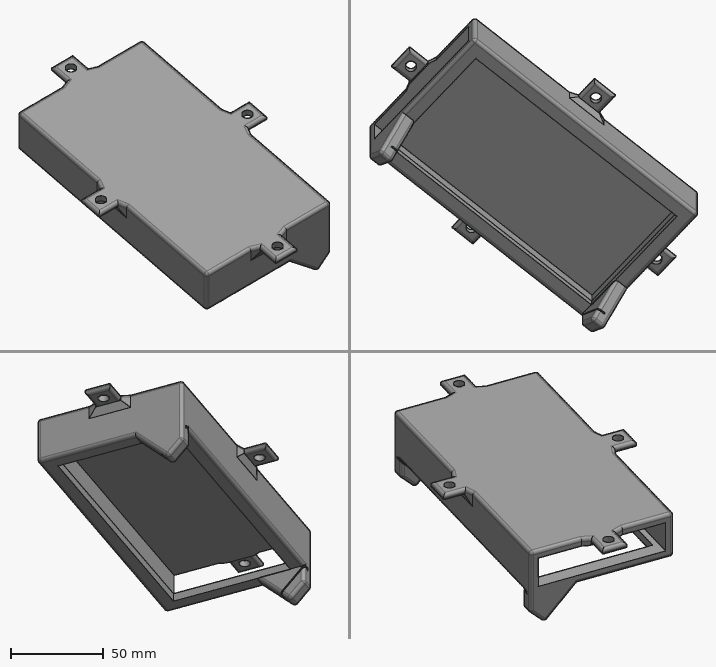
import cadquery as cq
length = 190.0
width = 117.0
height = 46.5

tab_reach = 15.0
box_length = length - 2 * tab_reach
box_width = width - 2 * tab_reach
box_height = 28.0
wall = 5.0
half_length = box_length / 2
half_width = box_width / 2

tab_width = 15.0
tab_thickness = 4.0
tab_lower_radius = 1.9
hole_diameter = 6.0
hole_from_end = tab_reach / 2
gusset_reach = 1.9
gusset_flare = 5.0

edge_radius = tab_thickness / 2

leg_thickness = 8.7
leg_tip_inset = 9.1
leg_inner_x = half_length - leg_thickness
tip_loss = edge_radius * (2**0.5 - 1)
leg_tip_z = -(height + tip_loss)
leg_tip_y = half_width - leg_tip_inset
leg_front_y = leg_tip_y - (-box_height - leg_tip_z)

slit_width = 0.8
slit_depth = 4.5
slit_from_slope = 7.5

floor_rim_x = 8.4
floor_rim_y = 8.5

tolerance = 0.02


def block(x_min, x_max, y_min, y_max, z_min, z_max):
    """Axis-aligned block between two corners."""
    size = (x_max - x_min, y_max - y_min, z_max - z_min)
    return cq.Workplane("XY").box(*size, centered=False).translate((x_min, y_min, z_min))


def leg(x_min):
    """Pointed leg flush with the +Y wall, reaching up into the box."""
    outline = [
        (half_width, -wall),
        (half_width, leg_tip_z + leg_tip_inset),
        (leg_tip_y, leg_tip_z),
        (leg_front_y, -box_height),
        (leg_front_y, -wall),
    ]
    return cq.Workplane("YZ", origin=(x_min, 0, 0)).polyline(outline).close().extrude(leg_thickness)


def is_outside_edge(edge):
    """True for edges below the top face, except the inner corners where a leg meets the floor."""
    center = edge.Center()
    at_floor = abs(center.z + box_height) < tolerance
    beside_leg = abs(abs(center.x) - leg_inner_x) < tolerance
    before_leg = abs(center.y - leg_front_y) < tolerance
    below_top = center.z < -tolerance
    return below_top and not (at_floor and (beside_leg or before_leg))


def tab(wall_distance):
    """Tab with its gusset, pointing along +X from a wall at wall_distance."""
    plate = (
        block(wall_distance, wall_distance + tab_reach, -tab_width / 2, tab_width / 2, -tab_thickness, 0)
        .faces("<Z")
        .edges("not <X")
        .fillet(tab_lower_radius)
    )
    root_depth = tab_thickness + gusset_flare
    gusset = (
        cq.Workplane("YZ", origin=(wall_distance, 0, -root_depth / 2))
        .rect(tab_width + 2 * gusset_flare, root_depth)
        .workplane(offset=gusset_reach)
        .center(0, gusset_flare / 2)
        .rect(tab_width, tab_thickness)
        .loft(ruled=True)
    )
    return gusset.union(plate)


def leg_slit(inner_x, x_size):
    """Slit crossing a leg from its long slope to the +Y wall, x_size wide and centered on inner_x."""
    run = 2 * leg_tip_inset * 2**0.5
    return (
        cq.Workplane("XY")
        .box(x_size, 2 * run, slit_width)
        .translate((0, 0, slit_from_slope))
        .rotate((0, 0, 0), (1, 0, 0), 45)
        .translate((inner_x, leg_tip_y, leg_tip_z))
    )


body = block(-half_length, half_length, -half_width, half_width, -box_height, 0)
for leg_start in (-half_length, leg_inner_x):
    body = body.union(leg(leg_start))
body = body.edges().filter(is_outside_edge).fillet(edge_radius)

for angle, wall_distance in ((0, half_length), (90, half_width), (180, half_length), (270, half_width)):
    body = body.union(tab(wall_distance).rotate((0, 0, 0), (0, 0, 1), angle))
body = body.faces(">Z").edges().fillet(edge_radius)

hole_x = length / 2 - hole_from_end
hole_y = width / 2 - hole_from_end
hole_centers = [(hole_x, 0), (-hole_x, 0), (0, hole_y), (0, -hole_y)]
holes = cq.Workplane("XY").pushPoints(hole_centers).circle(hole_diameter / 2).extrude(-tab_thickness)

cavity_y = half_width - wall
cavity = block(-length / 2, half_length - wall, -cavity_y, cavity_y, wall - box_height, -wall)

opening_x = half_length - floor_rim_x
opening_y = half_width - floor_rim_y
floor_opening = block(-opening_x, opening_x, -opening_y, opening_y, -box_height, -box_height / 2)

slits = leg_slit(-leg_inner_x, 2 * slit_depth).union(leg_slit(leg_inner_x, 2 * slit_depth))

result = body.cut(holes).cut(cavity).cut(floor_opening).cut(slits)